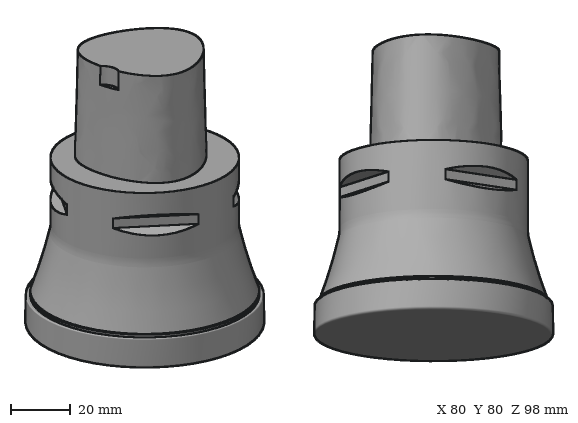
import cadquery as cq
import math

total_height = 98.0
ring_height = 10.5
joint_z = 11.5
flare_bottom_z = 11.8
flare_top_z = 33.0
collar_bottom_z = 36.1
collar_top_z = 59.8

ring_bottom_radius = 80.0 / 2
ring_top_radius = 39.8
ring_top_fillet = 0.4
ring_bottom_fillet = 0.9
neck_radius = 38.3

collar_radius = 63.0 / 2
flare_top_radius = 31.85
flare_bottom_radius = 38.2

shank_base_radius = 22.0
shank_taper = 1 / 20
lobe_offset = 1.5
outline_points = 36

keyway_radius = 5.5
keyway_depth = 6.7
keyway_inner_y = -17.8

groove_count = 4
groove_first_angle = 45.0
groove_z = 48.1
groove_floor_distance = 28.0
groove_floor_height = 3.4
groove_wall_angle = 30.0


def make_ring():
    """Revolve the slightly tapered ring, rounded at both rims, with its low neck."""
    return (
        cq.Workplane("XZ")
        .lineTo(ring_bottom_radius - ring_bottom_fillet, 0)
        .tangentArcPoint((ring_bottom_radius, ring_bottom_fillet), relative=False)
        .lineTo(ring_top_radius, ring_height - ring_top_fillet)
        .tangentArcPoint((ring_top_radius - ring_top_fillet, ring_height), relative=False)
        .lineTo(neck_radius, ring_height)
        .lineTo(neck_radius, joint_z)
        .lineTo(0, joint_z)
        .close()
        .revolve(360, (0, 0), (0, 1))
    )


def make_flared_collar():
    """Revolve the collar, its tangent blend and the concave flare with its short foot."""
    return (
        cq.Workplane("XZ")
        .moveTo(0, joint_z)
        .lineTo(0, collar_top_z)
        .lineTo(collar_radius, collar_top_z)
        .lineTo(collar_radius, collar_bottom_z)
        .tangentArcPoint((flare_top_radius, flare_top_z), relative=False)
        .tangentArcPoint((flare_bottom_radius, flare_bottom_z), relative=False)
        .lineTo(flare_bottom_radius, joint_z)
        .close()
        .revolve(360, (0, 0), (0, 1))
    )


def lobed_outline(mean_radius):
    """Points of a three-lobed hypotrochoid."""
    points = []
    for i in range(outline_points):
        angle = 2 * math.pi * i / outline_points
        x = mean_radius * math.sin(angle) - lobe_offset * math.sin(2 * angle)
        y = mean_radius * math.cos(angle) + lobe_offset * math.cos(2 * angle)
        points.append((x, y))
    return points


def make_shank():
    shank_length = total_height - collar_top_z
    top_radius = shank_base_radius - shank_length * shank_taper / 2
    return (
        cq.Workplane("XY", origin=(0, 0, collar_top_z))
        .spline(lobed_outline(shank_base_radius), periodic=True)
        .close()
        .workplane(offset=shank_length)
        .spline(lobed_outline(top_radius), periodic=True)
        .close()
        .loft(ruled=True)
    )


def make_keyway_cutter():
    return (
        cq.Workplane("XY", origin=(0, 0, total_height - keyway_depth))
        .center(0, keyway_inner_y - keyway_radius)
        .circle(keyway_radius)
        .extrude(keyway_depth)
    )


def make_groove_cutter(angle):
    """A straight trapezoidal bar that widens outward, turned about the axis."""
    depth = collar_radius - groove_floor_distance
    floor_half = groove_floor_height / 2
    mouth_half = floor_half + depth * math.tan(math.radians(groove_wall_angle))
    return (
        cq.Workplane("XZ")
        .polyline([
            (groove_floor_distance, groove_z - floor_half),
            (collar_radius, groove_z - mouth_half),
            (collar_radius, groove_z + mouth_half),
            (groove_floor_distance, groove_z + floor_half),
        ])
        .close()
        .extrude(collar_radius, both=True)
        .rotate((0, 0, 0), (0, 0, 1), angle)
    )


def make_holder():
    holder = make_flared_collar().union(make_shank()).cut(make_keyway_cutter())
    for i in range(groove_count):
        angle = groove_first_angle + i * 360 / groove_count
        holder = holder.cut(make_groove_cutter(angle))
    return holder


ring = make_ring()
holder = make_holder()
result = cq.Compound.makeCompound([ring.val(), holder.val()])